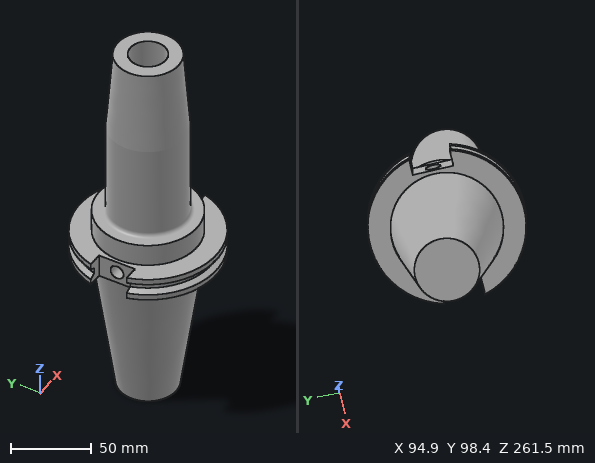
import cadquery as cq
import math

TOTAL_LENGTH = 261.5

TAPER_LENGTH = 101.5
GAUGE_RADIUS = 35.0
TAPER_RATIO = 7 / 24
TAPER_END_RADIUS = GAUGE_RADIUS - TAPER_LENGTH * TAPER_RATIO / 2

FLANGE_BOTTOM = 105.0
FLANGE_THICKNESS = 16.2
FLANGE_TOP = FLANGE_BOTTOM + FLANGE_THICKNESS
FLANGE_MIDDLE = FLANGE_BOTTOM + FLANGE_THICKNESS / 2
FLANGE_RADIUS = 49.2
GROOVE_FLOOR_RADIUS = 45.3
GROOVE_FLOOR_WIDTH = 3.7
GROOVE_SIDE_ANGLE = 30.0
GROOVE_FLOOR_HALF = GROOVE_FLOOR_WIDTH / 2
GROOVE_DEPTH = FLANGE_RADIUS - GROOVE_FLOOR_RADIUS
GROOVE_MOUTH_HALF = GROOVE_FLOOR_HALF + GROOVE_DEPTH * math.tan(math.radians(GROOVE_SIDE_ANGLE))

COLLAR_TOP = 136.8
NECK_RADIUS = 26.5
NECK_FILLET = 3.1
NOSE_START = 204.5
NOSE_RADIUS = 22.0

BORE_RADIUS = 12.5
BORE_DEPTH = 52.3

SLOT_WIDTH = 26.0
SLOT_FLOOR_LEFT = 37.5
SLOT_FLOOR_RIGHT = 35.3

SLOT_HOLE_RADIUS = 4.7
SLOT_HOLE_DEPTH = 10.5


def turned_body():
    """Revolve the half profile (radius, height) about Z."""
    fillet_center = (NECK_RADIUS + NECK_FILLET, COLLAR_TOP + NECK_FILLET)
    fillet_reach = NECK_FILLET * math.cos(math.radians(45))
    fillet_middle = (fillet_center[0] - fillet_reach, fillet_center[1] - fillet_reach)
    return (
        cq.Workplane("XZ")
        .moveTo(0, 0)
        .lineTo(TAPER_END_RADIUS, 0)
        .lineTo(GAUGE_RADIUS, TAPER_LENGTH)
        .lineTo(GAUGE_RADIUS, FLANGE_BOTTOM)
        .lineTo(FLANGE_RADIUS, FLANGE_BOTTOM)
        .lineTo(FLANGE_RADIUS, FLANGE_MIDDLE - GROOVE_MOUTH_HALF)
        .lineTo(GROOVE_FLOOR_RADIUS, FLANGE_MIDDLE - GROOVE_FLOOR_HALF)
        .lineTo(GROOVE_FLOOR_RADIUS, FLANGE_MIDDLE + GROOVE_FLOOR_HALF)
        .lineTo(FLANGE_RADIUS, FLANGE_MIDDLE + GROOVE_MOUTH_HALF)
        .lineTo(FLANGE_RADIUS, FLANGE_TOP)
        .lineTo(GAUGE_RADIUS, FLANGE_TOP)
        .lineTo(GAUGE_RADIUS, COLLAR_TOP)
        .lineTo(fillet_center[0], COLLAR_TOP)
        .threePointArc(fillet_middle, (NECK_RADIUS, fillet_center[1]))
        .lineTo(NECK_RADIUS, NOSE_START)
        .lineTo(NOSE_RADIUS, TOTAL_LENGTH)
        .lineTo(0, TOTAL_LENGTH)
        .close()
        .revolve(360, (0, 0), (0, 1))
    )


def drive_slot(side, floor_distance):
    """Cutter from the slot floor out to the rim; side is -1 or +1 along X."""
    depth = FLANGE_RADIUS - floor_distance
    return (
        cq.Workplane("XY")
        .box(depth, SLOT_WIDTH, FLANGE_THICKNESS)
        .translate((side * (floor_distance + depth / 2), 0, FLANGE_MIDDLE))
    )


def tool_bore():
    return (
        cq.Workplane("XY", origin=(0, 0, TOTAL_LENGTH))
        .circle(BORE_RADIUS)
        .extrude(-BORE_DEPTH)
    )


def slot_hole():
    return (
        cq.Workplane("YZ", origin=(-SLOT_FLOOR_LEFT, 0, FLANGE_MIDDLE))
        .circle(SLOT_HOLE_RADIUS)
        .extrude(SLOT_HOLE_DEPTH)
    )


result = (
    turned_body()
    .cut(drive_slot(-1, SLOT_FLOOR_LEFT))
    .cut(drive_slot(1, SLOT_FLOOR_RIGHT))
    .cut(tool_bore())
    .cut(slot_hole())
)